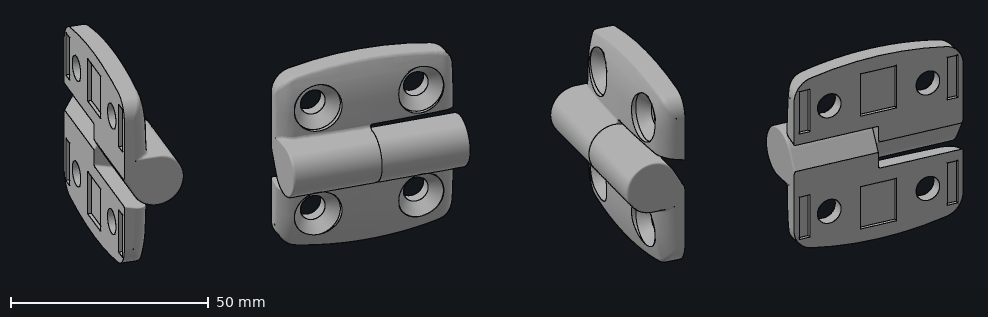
import cadquery as cq
import math

width = 48.0
height = 52.0
depth = 15.95

knuckle_radius = 7.0
axis_y = depth - knuckle_radius
knuckle_front_angle = 30.0
outer_end_rounding = 0.5
inner_end_rounding = 0.3
root_fillet = 1.0

tip_radius = 100.0
corner_radius = 6.0

crown_thickness = 7.95
cross_crown_radius = 218.4
side_rounding = 4.0
inner_crown_radius = 364.0
tip_crown_start = 15.0
tip_crown_radius = 33.3
tip_crown_sweep = 40.0
tip_rounding = 1.35

notch_offset = 6.0
notch_slope = 15.0
notch_corner_rounding = 0.5

plate_inner_edge = 4.7

hole_x = 14.0
hole_z = 15.0
hole_radius = 3.35
countersink_start = 3.4
head_radius = 6.3

pocket_depth = 1.0
pocket_length = 12.0
centre_pocket_width = 10.2
centre_pocket_z = 16.0
side_pocket_width = 3.0
side_pocket_x = 21.0
side_pocket_z = hole_z

half_width = width / 2
half_height = height / 2


def plate_outline():
    """Prism of the plate outline: convex tip edge, round corners, straight inner edge."""
    tip_centre_z = tip_radius - half_height
    corner_x = half_width - corner_radius
    corner_z = tip_centre_z - math.sqrt((tip_radius - corner_radius) ** 2 - corner_x ** 2)
    tip_angle = math.asin(corner_x / (tip_radius - corner_radius))
    tip_x = tip_radius * math.sin(tip_angle)
    tip_z = tip_centre_z - tip_radius * math.cos(tip_angle)
    mid_angle = (math.pi / 2 + tip_angle) / 2
    mid_x = corner_x + corner_radius * math.sin(mid_angle)
    mid_z = corner_z - corner_radius * math.cos(mid_angle)
    return (
        cq.Workplane("XZ")
        .moveTo(-half_width, -plate_inner_edge)
        .lineTo(-half_width, corner_z)
        .threePointArc((-mid_x, mid_z), (-tip_x, tip_z))
        .threePointArc((0, -half_height), (tip_x, tip_z))
        .threePointArc((mid_x, mid_z), (half_width, corner_z))
        .lineTo(half_width, -plate_inner_edge)
        .close()
        .extrude(-depth)
    )


def crowned_block():
    """Cross-section with rounded sides, swept along the crown from the hinge axis to past the tip."""
    crown_centre_y = crown_thickness - cross_crown_radius
    rounding_x = half_width - side_rounding
    rounding_y = crown_centre_y + math.sqrt((cross_crown_radius - side_rounding) ** 2 - rounding_x ** 2)
    edge_angle = math.asin(rounding_x / (cross_crown_radius - side_rounding))
    edge_x = cross_crown_radius * math.sin(edge_angle)
    edge_y = crown_centre_y + cross_crown_radius * math.cos(edge_angle)
    mid_angle = (math.pi / 2 + edge_angle) / 2
    mid_x = rounding_x + side_rounding * math.sin(mid_angle)
    mid_y = rounding_y + side_rounding * math.cos(mid_angle)
    front_y = -crown_thickness / 2
    section = (
        cq.Workplane("XY")
        .moveTo(-half_width, front_y)
        .lineTo(-half_width, rounding_y)
        .threePointArc((-mid_x, mid_y), (-edge_x, edge_y))
        .threePointArc((0, crown_thickness), (edge_x, edge_y))
        .threePointArc((mid_x, mid_y), (half_width, rounding_y))
        .lineTo(half_width, front_y)
        .close()
    )

    start_angle = math.asin(tip_crown_start / inner_crown_radius)
    inner_centre_y = crown_thickness - inner_crown_radius
    tip_centre_y = inner_centre_y + (inner_crown_radius - tip_crown_radius) * math.cos(start_angle)
    tip_centre_z = (inner_crown_radius - tip_crown_radius) * math.sin(start_angle)

    def inner_point(angle):
        return (
            inner_centre_y + inner_crown_radius * math.cos(angle),
            -inner_crown_radius * math.sin(angle),
        )

    def tip_point(angle):
        return (
            tip_centre_y + tip_crown_radius * math.cos(angle),
            -tip_centre_z - tip_crown_radius * math.sin(angle),
        )

    end_angle = math.radians(tip_crown_sweep)
    path = (
        cq.Workplane("YZ")
        .moveTo(crown_thickness, 0)
        .threePointArc(inner_point(start_angle / 2), inner_point(start_angle))
        .threePointArc(tip_point((start_angle + end_angle) / 2), tip_point(end_angle))
    )
    return section.sweep(path)


def plate():
    """Crowned plate below the hinge axis, with its tip and corner edges rounded."""
    tip_edge = cq.selectors.NearestToPointSelector((0, axis_y, -half_height))
    return (
        plate_outline()
        .intersect(crowned_block())
        .edges(tip_edge)
        .fillet(tip_rounding)
    )


def notch():
    """Cutter for the +X half of the inner edge: a sloped face with a rounded inner corner."""
    drop = depth * math.tan(math.radians(notch_slope))
    return (
        cq.Workplane("YZ")
        .moveTo(0, -notch_offset)
        .lineTo(depth, -notch_offset - drop)
        .lineTo(depth, 0)
        .lineTo(0, 0)
        .close()
        .extrude(width)
        .faces("<X")
        .edges("<Z")
        .fillet(notch_corner_rounding)
    )


def knuckle():
    """Barrel on the -X half: round back, sloped flat front flank, flat underside on the plate."""
    flank = math.radians(knuckle_front_angle)
    flank_y = axis_y - knuckle_radius * math.cos(flank)
    flank_z = knuckle_radius * math.sin(flank)
    flank_foot_z = flank_z - flank_y / math.tan(flank)
    return (
        cq.Workplane("YZ")
        .moveTo(0, flank_foot_z)
        .lineTo(flank_y, flank_z)
        .threePointArc((depth, 0), (axis_y, -knuckle_radius))
        .lineTo(0, -knuckle_radius)
        .close()
        .extrude(-half_width)
        .edges(cq.selectors.NearestToPointSelector((-half_width, axis_y, 0)))
        .fillet(outer_end_rounding)
    )


def screw_hole(x):
    """Cutter for one through hole with a 90 degree countersink and a straight bore for the screw head."""
    countersink_end = countersink_start + head_radius - hole_radius
    profile = (
        cq.Workplane("XY")
        .lineTo(hole_radius, 0)
        .lineTo(hole_radius, countersink_start)
        .lineTo(head_radius, countersink_end)
        .lineTo(head_radius, depth)
        .lineTo(0, depth)
        .close()
    )
    return profile.revolve(360, (0, 0, 0), (0, 1, 0)).translate((x, 0, -hole_z))


def pocket(x, z, pocket_width):
    """Cutter for one shallow rectangular pocket in the mounting face."""
    return (
        cq.Workplane("XY")
        .box(pocket_width, pocket_depth, pocket_length, centered=(True, False, True))
        .translate((x, 0, z))
    )


def hinge_leaf():
    """Lower leaf: notched plate on the -Z side with its knuckle on the -X half."""
    leaf = plate().cut(notch()).union(knuckle())

    root_edge = cq.selectors.NearestToPointSelector((-half_width / 2, crown_thickness / 2, -knuckle_radius))
    leaf = leaf.edges(root_edge).fillet(root_fillet)

    inner_end_edge = cq.selectors.NearestToPointSelector((0, axis_y, 0))
    leaf = leaf.edges(inner_end_edge).fillet(inner_end_rounding)

    leaf = leaf.cut(pocket(0, -centre_pocket_z, centre_pocket_width))
    for side in (-1, 1):
        leaf = leaf.cut(screw_hole(side * hole_x))
        leaf = leaf.cut(pocket(side * side_pocket_x, -side_pocket_z, side_pocket_width))
    return leaf


leaves = []
for turn in (0, 180):
    leaves.append(hinge_leaf().rotate((0, 0, 0), (0, 1, 0), turn).solids().val())

result = cq.Compound.makeCompound(leaves)